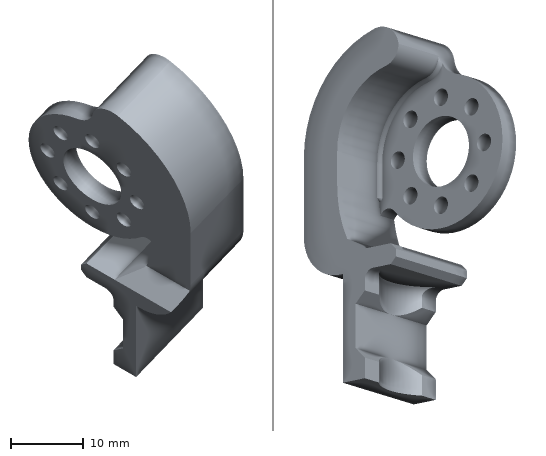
import cadquery as cq
import math


total_height = 49.85

total_depth = 15.5
plate_front = 3.3
plate_thickness = 3.0
plate_back = plate_front + plate_thickness

disc_radius = 11.0
bore_diameter = 10.0
bolt_hole_diameter = 2.5
bolt_hole_count = 8
bolt_circle_radius = 7.7

hook_radius = 17.0
nose_radius = 3.5
inner_blend_radius = 3.0
plate_blend_radius = 3.5
wall_chamfer = 0.5
wall_straight_end = -5.0
wall_curve_radius = 18.2
wall_foot_z = -12.85
slot_radius = 1.5

ledge_left = 0.5
ledge_top = -14.75
ledge_bottom = -17.75
ledge_chamfer = 0.95
slope_start_x = 6.3
front_slope_top = -12.7
corner_radius = 6.4

leg_left = 6.1
leg_right = 10.0
leg_fillet = 1.5
recess_x = 7.7
recess_depth = recess_x - leg_left
recess_top = -22.35
recess_bottom = -28.7
scallop_radius = 7.5


def polar(radius, degrees, center=(0, 0)):
    """Point on a circle in the XZ plane."""
    angle = math.radians(degrees)
    return (center[0] + radius * math.cos(angle), center[1] + radius * math.sin(angle))


def direction(point, center=(0, 0)):
    """Angle in degrees from a center to a point."""
    return math.degrees(math.atan2(point[1] - center[1], point[0] - center[0]))


def front_sketch(y):
    """XZ sketch plane at depth y; a negative extrusion goes towards +Y."""
    return cq.Workplane("XZ", origin=(0, y, 0))


nose_center = (nose_radius, math.sqrt((hook_radius - nose_radius) ** 2 - nose_radius**2))
nose_start = polar(hook_radius, direction(nose_center))
nose_mid = polar(nose_radius, 135, nose_center)

leg_bottom = nose_center[1] + nose_radius - total_height

inner_blend_z = math.sqrt((disc_radius + inner_blend_radius) ** 2 - inner_blend_radius**2)
inner_blend_center = (inner_blend_radius, inner_blend_z)
inner_blend_end = polar(disc_radius, direction(inner_blend_center))
inner_blend_mid = polar(inner_blend_radius, 215, inner_blend_center)

nose_distance = hook_radius - nose_radius
blend_distance = disc_radius + plate_blend_radius
touching_distance = nose_radius + plate_blend_radius
blend_cosine = (nose_distance**2 + blend_distance**2 - touching_distance**2) / (
    2 * nose_distance * blend_distance
)
plate_blend_angle = direction(nose_center) + math.degrees(math.acos(blend_cosine))
plate_blend_center = polar(blend_distance, plate_blend_angle)
nose_tip = polar(nose_radius, direction(plate_blend_center, nose_center), nose_center)
plate_blend_end = polar(disc_radius, plate_blend_angle)
plate_blend_mid = polar(plate_blend_radius, -35, plate_blend_center)

wall_curve_center = (disc_radius - wall_curve_radius, wall_straight_end)


def wall_curve_point(z):
    rise = z - wall_curve_center[1]
    return (wall_curve_center[0] + math.sqrt(wall_curve_radius**2 - rise**2), z)


def start_hook(y):
    """Outline from the outer arc's right end, over the hook, to the nose tip."""
    return (
        front_sketch(y)
        .moveTo(hook_radius, 0)
        .threePointArc(polar(hook_radius, 40), nose_start)
        .threePointArc(nose_mid, nose_tip)
    )


def add_inner_wall(outline):
    """Continue an outline from the nose tip along the inside of the hook to Z = 0."""
    return (
        outline.threePointArc(inner_blend_mid, inner_blend_end)
        .threePointArc(polar(disc_radius, 40), (disc_radius, 0))
    )


def make_body():
    """Hook wall, ledge and leg as one profile through the full depth."""
    corner_center = (hook_radius - corner_radius, ledge_bottom + corner_radius)
    fillet_center = (leg_left - leg_fillet, ledge_bottom - leg_fillet)
    profile = (
        add_inner_wall(start_hook(0))
        .lineTo(disc_radius, wall_straight_end)
        .threePointArc(
            wall_curve_point((wall_straight_end + wall_foot_z) / 2), wall_curve_point(wall_foot_z)
        )
        .lineTo(slope_start_x, ledge_top)
        .lineTo(ledge_left + ledge_chamfer, ledge_top)
        .lineTo(ledge_left, ledge_top - ledge_chamfer)
        .lineTo(ledge_left, ledge_bottom + ledge_chamfer)
        .lineTo(ledge_left + ledge_chamfer, ledge_bottom)
        .lineTo(fillet_center[0], ledge_bottom)
        .threePointArc(polar(leg_fillet, 45, fillet_center), (leg_left, fillet_center[1]))
        .lineTo(leg_left, recess_top + recess_depth)
        .lineTo(recess_x, recess_top)
        .lineTo(recess_x, recess_bottom)
        .lineTo(leg_left, recess_bottom - recess_depth)
        .lineTo(leg_left, leg_bottom)
        .lineTo(leg_right, leg_bottom)
        .lineTo(leg_right, ledge_bottom)
        .lineTo(corner_center[0], ledge_bottom)
        .threePointArc(polar(corner_radius, -45, corner_center), (hook_radius, corner_center[1]))
        .close()
    )
    return profile.extrude(-total_depth)


def make_front_relief():
    """Space in front of the plate, down to the sloped top of the ledge."""
    return (
        cq.Workplane("YZ")
        .polyline(
            [
                (0, ledge_top),
                (plate_front, front_slope_top),
                (plate_front, hook_radius),
                (0, hook_radius),
            ]
        )
        .close()
        .extrude(hook_radius)
    )


def make_plate(depth):
    """Disc joined to the hook, with a round-ended slot beside the wall."""
    slot_center_x = disc_radius - slot_radius
    slot_center_z = -math.sqrt((disc_radius + slot_radius) ** 2 - slot_center_x**2)
    slot_center = (slot_center_x, slot_center_z)
    slot_start = polar(disc_radius, direction(slot_center))
    return (
        start_hook(plate_front)
        .threePointArc(plate_blend_mid, plate_blend_end)
        .threePointArc((-disc_radius, 0), slot_start)
        .threePointArc(polar(slot_radius, 80, slot_center), (disc_radius, slot_center_z))
        .lineTo(hook_radius, slot_center_z)
        .close()
        .extrude(-depth)
    )


def make_wall_chamfer():
    """Sloped strip in the corner between the plate's back and the hook wall."""
    outline = (
        front_sketch(plate_back + wall_chamfer)
        .moveTo(0, hook_radius)
        .lineTo(0, inner_blend_z)
    )
    strip = (
        add_inner_wall(outline)
        .lineTo(disc_radius, wall_straight_end)
        .lineTo(hook_radius, wall_straight_end)
        .lineTo(hook_radius, hook_radius)
        .close()
        .extrude(wall_chamfer, taper=-45)
    )
    return strip.intersect(make_plate(plate_thickness + wall_chamfer))


def make_holes():
    """Center bore and the ring of bolt holes through the plate."""
    bore = front_sketch(plate_front).circle(bore_diameter / 2).extrude(-plate_thickness)
    bolt_holes = (
        front_sketch(plate_front)
        .polarArray(bolt_circle_radius, 0, 360, bolt_hole_count)
        .circle(bolt_hole_diameter / 2)
        .extrude(-plate_thickness)
    )
    return bore.union(bolt_holes)


def make_scallop():
    """Upright cylinder that hollows the leg's left side below the ledge."""
    return (
        cq.Workplane("XY", origin=(recess_x - scallop_radius, total_depth / 2, leg_bottom))
        .circle(scallop_radius)
        .extrude(ledge_bottom - leg_bottom)
    )


result = (
    make_body()
    .cut(make_front_relief())
    .union(make_plate(plate_thickness))
    .union(make_wall_chamfer())
    .cut(make_holes())
    .cut(make_scallop())
)